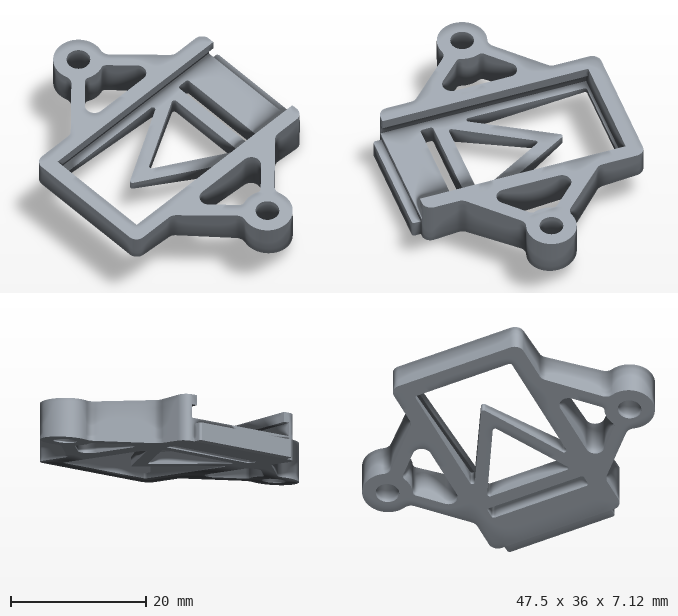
import cadquery as cq
import math

overall_width = 47.5
height = 7.12
underside_angle = 5.0
tongue_top = 2.7
floor_top = 3.55
lip_thickness = 1.5

body_width = 21.4
body_front = -18.1
body_back = 16.6
outer_fillet = 1.42

boss_radius = 3.75
boss_x = overall_width / 2 - boss_radius
hole_diameter = 3.5
arm_outer_reach = 21.4
arm_inner_reach = 18.52
boss_side_fillet = 0.7

channel_width = 16.7
channel_front = -15.7
undercut = 0.95

tongue_width = 17.65
tongue_back = 17.9
tongue_fillet = 0.4

window_width = 15.9
window_front = -15.3
slot_front = 8.85
slot_back = 10.85
triangle_back = 6.85
triangle_tip = -5.2
brace_tip = -9.1
half_tip_angle = 30.0
window_fillet = 0.4


def block(width, front, back, bottom, top):
    """Box centred on X, given by its Y and Z limits."""
    return (
        cq.Workplane("XY", origin=(0, (front + back) / 2, bottom))
        .rect(width, back - front)
        .extrude(top - bottom)
    )


def prism(points):
    """Full-height prism over a closed polygon."""
    return cq.Workplane("XY").polyline(points).close().extrude(height)


def bosses():
    return cq.Workplane("XY").pushPoints([(-boss_x, 0), (boss_x, 0)]).circle(boss_radius).extrude(height)


def outer_body():
    """Body, arms and bosses with all outside vertical corners rounded."""
    reach = arm_outer_reach
    arms = prism([(-reach, 0), (0, -reach), (reach, 0), (0, reach)])
    arm_half_depth = reach - body_width / 2
    arms = arms.intersect(block(2 * reach, -arm_half_depth, arm_half_depth, 0, height))
    body = block(body_width, body_front, body_back, 0, height)
    return body.union(arms).union(bosses()).edges("|Z").fillet(outer_fillet)


def ear_opening(side):
    """Opening between the two arms of one ear; side is -1 or 1."""
    wall_x = body_width / 2
    half_depth = arm_inner_reach - wall_x
    margin = 0.48
    opening = prism([
        (side * wall_x, -half_depth),
        (side * wall_x, half_depth),
        (side * arm_inner_reach, 0),
    ]).cut(bosses())
    wall_corners = cq.selectors.BoxSelector(
        (side * (wall_x - margin), -half_depth - margin, -margin),
        (side * (wall_x + margin), half_depth + margin, height + margin),
    )
    opening = opening.edges("|Z").edges(wall_corners).fillet(outer_fillet)
    boss_corners = cq.selectors.BoxSelector(
        (side * (boss_x - boss_radius), -boss_radius, -margin),
        (side * arm_inner_reach, boss_radius, height + margin),
    )
    return opening.edges("|Z").edges(boss_corners).fillet(boss_side_fillet)


def channel():
    slot = block(channel_width, channel_front, body_back, floor_top, height)
    under_lips = block(
        channel_width + 2 * undercut, channel_front, body_back, floor_top, height - lip_thickness
    )
    return slot.union(under_lips)


def tongue():
    overlap = outer_fillet
    plate = block(tongue_width, body_back - overlap, tongue_back, 0, tongue_top)
    return plate.edges("|Z and >Y").fillet(tongue_fillet)


def floor_windows():
    """Cross slot, triangle and the large window, which leave a V-shaped brace."""
    slope = math.tan(math.radians(half_tip_angle))
    half_width = window_width / 2
    triangle_half = (triangle_back - triangle_tip) * slope
    brace_side_y = brace_tip + half_width / slope
    slot = block(window_width, slot_front, slot_back, 0, height)
    triangle = prism([(-triangle_half, triangle_back), (triangle_half, triangle_back), (0, triangle_tip)])
    large = prism([
        (-half_width, window_front),
        (half_width, window_front),
        (half_width, brace_side_y),
        (0, brace_tip),
        (-half_width, brace_side_y),
    ])
    return [window.edges("|Z").fillet(window_fillet) for window in (slot, triangle, large)]


def below_underside():
    """Wedge below the underside, which rises from the back of the body to its front."""
    rise = (body_back - body_front) * math.tan(math.radians(underside_angle))
    profile = [(body_back, 0), (body_front, 0), (body_front, rise)]
    return cq.Workplane("YZ").polyline(profile).close().extrude(boss_x + boss_radius, both=True)


result = outer_body()
for ear_side in (-1, 1):
    result = result.cut(ear_opening(ear_side))
result = result.cut(channel()).union(tongue())
for window_cutter in floor_windows():
    result = result.cut(window_cutter)
mounting_holes = (
    cq.Workplane("XY").pushPoints([(-boss_x, 0), (boss_x, 0)]).circle(hole_diameter / 2).extrude(height)
)
result = result.cut(mounting_holes).cut(below_underside())